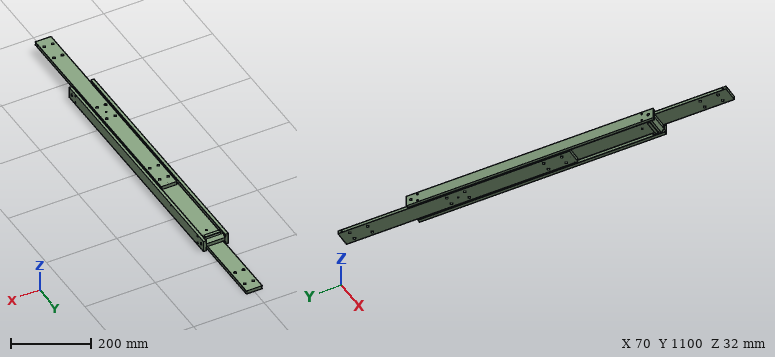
import cadquery as cq


TOTAL_LENGTH = 1100.0

FRAME_WIDTH = 70.0
RAIL_HEIGHT = 32.0
RAIL_LENGTH = 700.0
CHANNEL_WIDTH = 53.0
RAIL_WIDTH = (FRAME_WIDTH - CHANNEL_WIDTH) / 2
RAIL_X = (FRAME_WIDTH - RAIL_WIDTH) / 2
BRIDGE_LENGTH = 697.0
BRIDGE_THICKNESS = 10.0

STOP_TOP = 13.0
STOP_LENGTH = 14.0
NOSE_TOP = 15.0
NOSE_LENGTH = 8.0
NOSE_WIDTH = 44.0

SLIDE_WIDTH = 45.0
SLIDE_LENGTH = 657.0
SLIDE_THICKNESS = 10.0
SLIDE_TOP = 15.0
SLIDE_Z = SLIDE_TOP - SLIDE_THICKNESS / 2
SLIDE_Y = (SLIDE_LENGTH - TOTAL_LENGTH) / 2

GROOVE_RADIUS = 5.0
GROOVE_DEPTH = 1.6
GROOVE_OFFSET = GROOVE_RADIUS - GROOVE_DEPTH

MOUNT_DIAMETER = 7.0
MOUNT_SPACING = 24.0
MOUNT_PAIR_SPACING = 51.0
MOUNT_GROUP_PITCH = 275.0
PIN_DIAMETER = 4.0
SLIDE_PIN_INSET = 10.0
DETENT_ROOF = 1.0
RAIL_PIN_INSET = 32.0
SCREW_DIAMETER = 7.0
SCREW_INSET = 13.0
BRIDGE_HOLE_DIAMETER = 4.0
BRIDGE_HOLE_Y = 300.0

SIGNS = (-1, 1)


def half_turn(shape):
    """Turn a shape of the upper channel into its twin in the lower channel."""
    return shape.rotate((0, 0, 0), (1, 0, 0), 180)


def ball_groove(length, x, z):
    """Cylinder parallel to Y whose near half cuts a ball groove."""
    groove = cq.Workplane("XZ").circle(GROOVE_RADIUS).extrude(length / 2, both=True)
    return groove.translate((x, 0, z))


def cross_hole(diameter, length, x, y, z):
    """Cylinder parallel to X, centred on the given point."""
    drill = cq.Workplane("YZ").circle(diameter / 2).extrude(length / 2, both=True)
    return drill.translate((x, y, z))


def vertical_holes(diameter, depth, points):
    """Cylinders parallel to Z, centred on height zero."""
    return cq.Workplane().pushPoints(points).circle(diameter / 2).extrude(depth / 2, both=True)


def make_rail(side):
    """Side rail with a ball groove in each channel; side is -1 or 1 along X."""
    x = side * RAIL_X
    rail = cq.Workplane().box(RAIL_WIDTH, RAIL_LENGTH, RAIL_HEIGHT).translate((x, 0, 0))

    groove_x = side * (CHANNEL_WIDTH / 2 - GROOVE_OFFSET)
    for up in SIGNS:
        rail = rail.cut(ball_groove(RAIL_LENGTH, groove_x, up * SLIDE_Z))

    screw_y = RAIL_LENGTH / 2 - SCREW_INSET
    pin_y = RAIL_LENGTH / 2 - RAIL_PIN_INSET
    for end in SIGNS:
        rail = rail.cut(cross_hole(SCREW_DIAMETER, RAIL_WIDTH, x, end * screw_y, 0))
        for up in SIGNS:
            rail = rail.cut(cross_hole(PIN_DIAMETER, RAIL_WIDTH, x, end * pin_y, up * SLIDE_Z))
    return rail


def upper_stop():
    """Stop at the +Y end of the upper channel, bevelled at 45 degrees on its outer side."""
    outer_y = BRIDGE_LENGTH / 2
    inner_y = outer_y - STOP_LENGTH
    bottom_z = BRIDGE_THICKNESS / 2
    step = (
        cq.Workplane("YZ")
        .moveTo(outer_y, bottom_z)
        .lineTo(outer_y - (STOP_TOP - bottom_z), STOP_TOP)
        .lineTo(inner_y, STOP_TOP)
        .lineTo(inner_y, bottom_z)
        .close()
        .extrude(CHANNEL_WIDTH / 2, both=True)
    )
    nose = cq.Workplane().box(NOSE_WIDTH, NOSE_LENGTH, NOSE_TOP - bottom_z)
    nose = nose.translate((0, inner_y - NOSE_LENGTH / 2, (NOSE_TOP + bottom_z) / 2))
    return step.union(nose)


def make_bridge():
    """Plate between the rails with an end stop and a pin hole for each channel."""
    plate = cq.Workplane().box(CHANNEL_WIDTH, BRIDGE_LENGTH, BRIDGE_THICKNESS)
    hole_points = [(0, end * BRIDGE_HOLE_Y) for end in SIGNS]
    plate = plate.cut(vertical_holes(BRIDGE_HOLE_DIAMETER, BRIDGE_THICKNESS, hole_points))
    return plate.union(upper_stop()).union(half_turn(upper_stop()))


def make_upper_slide():
    """Slide of the upper channel, drawn out so that its far end is half the total length away."""
    slide = cq.Workplane().box(SLIDE_WIDTH, SLIDE_LENGTH, SLIDE_THICKNESS)

    groove_x = SLIDE_WIDTH / 2 + GROOVE_OFFSET
    for side in SIGNS:
        slide = slide.cut(ball_groove(SLIDE_LENGTH, side * groove_x, 0))

    mount_points = [
        (side * MOUNT_SPACING / 2, group * MOUNT_GROUP_PITCH + end * MOUNT_PAIR_SPACING / 2)
        for group in (-1, 0, 1)
        for end in SIGNS
        for side in SIGNS
    ]
    slide = slide.cut(vertical_holes(MOUNT_DIAMETER, SLIDE_THICKNESS, mount_points))

    pin_y = SLIDE_LENGTH / 2 - SLIDE_PIN_INSET
    for end in SIGNS:
        slide = slide.cut(cross_hole(PIN_DIAMETER, SLIDE_WIDTH, 0, end * pin_y, 0))

    detent = cq.Workplane().circle(PIN_DIAMETER / 2).extrude(SLIDE_THICKNESS - DETENT_ROOF)
    slide = slide.cut(detent.translate((0, 0, -SLIDE_THICKNESS / 2)))

    return slide.translate((0, SLIDE_Y, SLIDE_Z))


rails = [make_rail(side) for side in SIGNS]
bridge = make_bridge()
upper_slide = make_upper_slide()
lower_slide = half_turn(upper_slide)

bodies = [*rails, bridge, upper_slide, lower_slide]
result = cq.Compound.makeCompound([body.val() for body in bodies])